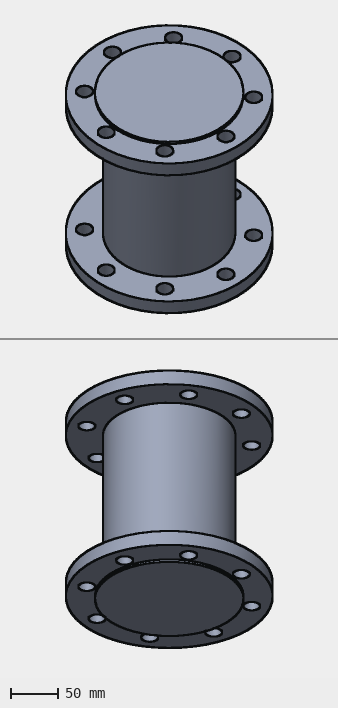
import cadquery as cq

overall_length = 220.0
flange_diameter = 220.0
flange_thickness = 17.0
raised_face_diameter = 158.0
raised_face_height = 3.0
body_diameter = 141.0
bolt_circle_diameter = 180.0
bolt_hole_diameter = 18.0
bolt_count = 8

first_bolt_angle = 360 / bolt_count / 2

half_length = overall_length / 2
flange_outer_z = half_length - raised_face_height
flange_inner_z = flange_outer_z - flange_thickness


def disc(diameter, bottom_z, top_z):
    """Solid cylinder on the Z axis between two heights."""
    return cq.Workplane("XY").workplane(offset=bottom_z).circle(diameter / 2).extrude(top_z - bottom_z)


def top_flange():
    """Drilled flange with a raised sealing face on its outer side."""
    bolt_holes = (
        cq.Workplane("XY")
        .workplane(offset=flange_inner_z)
        .polarArray(bolt_circle_diameter / 2, first_bolt_angle, 360, bolt_count)
        .circle(bolt_hole_diameter / 2)
        .extrude(flange_thickness)
    )
    plate = disc(flange_diameter, flange_inner_z, flange_outer_z).cut(bolt_holes)
    raised_face = disc(raised_face_diameter, flange_outer_z, half_length)
    return plate.union(raised_face)


body = disc(body_diameter, -flange_inner_z, flange_inner_z)
upper_flange = top_flange()
lower_flange = upper_flange.mirror("XY")

result = body.union(upper_flange).union(lower_flange)